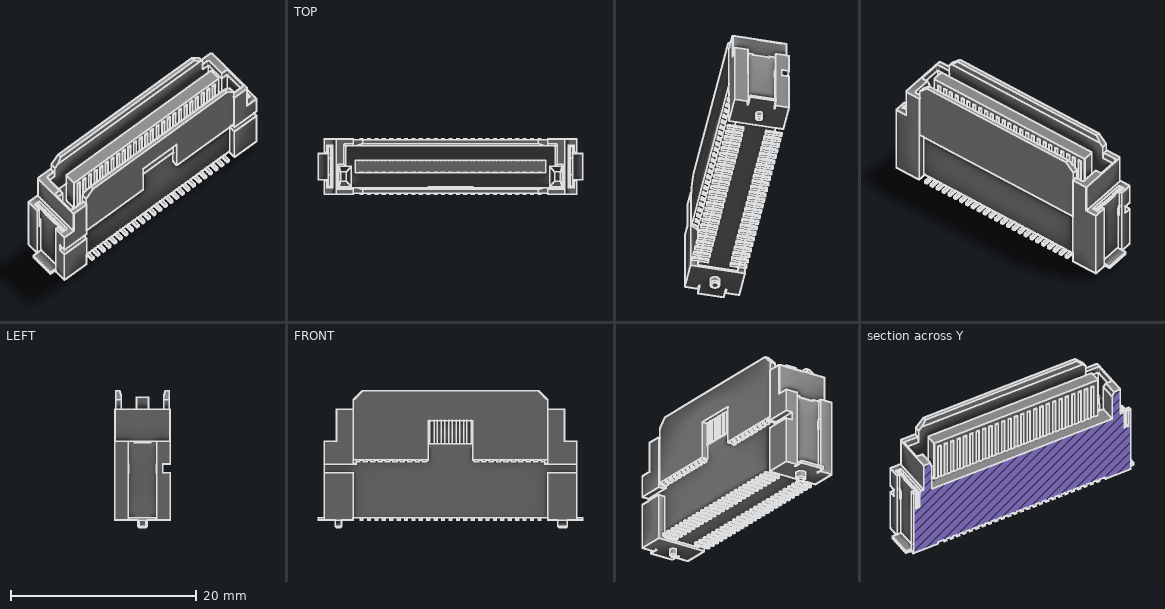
import cadquery as cq

post_half_length = 13.65
tower_half_length = 12.35
post_inner_x = 10.5
post_half_width = 3.0
slab_half_width = 2.2
slab_bottom_z = 0.25
shoulder_z = 8.55
tower_top_z = 12.0
tower_edge_chamfer = 0.08
floor_z = 8.25

plate_inner_y = 2.27
plate_outer_y = 2.9
plate_bottom_z = 6.55
plate_top_z = 14.0
plate_corner_chamfer = 1.0
plate_lead_depth = 0.2
plate_lead_height = 0.6
skirt_bottom_z = 6.3
skirt_end_bottom_z = 6.05
skirt_end_lip = 0.1
skirt_channel_depth = 0.45
skirt_end_length = 0.3
window_half_length = 2.4
window_top_z = 10.75

cavity_half_length = 11.3
cavity_half_width = plate_inner_y
cavity_rim_spread = 0.2
cavity_rim_height = 0.6
cavity_rim_radius = 0.2
corner_outer_x = 12.05
corner_inner_x = 10.7
corner_front_y = -plate_inner_y
corner_back_y = 0.05
pit_depth = 1.5
pit_front_y = -2.18
pit_floor_x = (11.23, 11.87)
pit_floor_y = (-1.6, -0.58)

tongue_half_length = 10.3
tongue_half_width = 0.66
tongue_top_z = 13.3
tongue_edge_chamfer = 0.06
contacts_per_side = 25
contact_pitch = 0.8
groove_width = 0.35
groove_depth = 0.07
groove_top_gap = 0.7
groove_top_z = tongue_top_z - groove_top_gap
tail_width = 0.3
tail_inner_y = 1.2

notch_bottom_z = 5.15
notch_top_z = 6.05

slot_inner_x = 12.7
slot_outer_x = 13.34
slot_half_width = 2.3
slot_bottom_z = 6.3
slot_lead_depth = 0.15
slot_lead_height = 0.3
strip_inner_x = 12.95
strip_outer_x = 13.18
strip_half_width = 2.15
strip_top_z = 8.5
strip_dip_half_width = 0.9
strip_dip_depth = 0.15
end_recess_half_width = 1.52
foot_end_x = 14.3
foot_half_width = 1.43
foot_thickness = 0.28
barb_size = 0.06

peg_x = 12.1
small_peg_diameter = 0.7
large_peg_diameter = 1.05
peg_length = 0.8
peg_tip_chamfer = 0.15


def block(x, y, z):
    """Box between the given (low, high) limits on each axis."""
    size = (x[1] - x[0], y[1] - y[0], z[1] - z[0])
    return cq.Workplane("XY").box(*size, centered=False).translate((x[0], y[0], z[0]))


def centered_block(half_x, half_y, z):
    """Box symmetric about the Z axis."""
    return block((-half_x, half_x), (-half_y, half_y), z)


def tapered_opening(x, y, z, spread_x, spread_y):
    """Opening that widens upwards by the given (low, high) spread on each side."""
    length = x[1] - x[0]
    width = y[1] - y[0]
    low = cq.Workplane("XY", origin=(0, 0, z[0]))
    low = low.center(sum(x) / 2, sum(y) / 2).rect(length, width)
    top_x = (x[0] - spread_x[0], x[1] + spread_x[1])
    top_y = (y[0] - spread_y[0], y[1] + spread_y[1])
    shift = ((sum(top_x) - sum(x)) / 2, (sum(top_y) - sum(y)) / 2)
    high = low.workplane(offset=z[1] - z[0]).center(*shift)
    return high.rect(top_x[1] - top_x[0], top_y[1] - top_y[0]).loft(ruled=True)


def mirror_x(shape):
    return shape.mirror("YZ")


def mirror_y(shape):
    return shape.mirror("XZ")


def contact_positions():
    first = -(contacts_per_side - 1) / 2 * contact_pitch
    return [(first + i * contact_pitch, 0) for i in range(contacts_per_side)]


def at_contacts(width, y, z):
    """One box per contact, spread along X."""
    row = cq.Workplane("XY", origin=(0, (y[0] + y[1]) / 2, z[0])).pushPoints(contact_positions())
    return row.rect(width, y[1] - y[0]).extrude(z[1] - z[0])


def make_posts():
    post_y = (-post_half_width, post_half_width)
    post = block((post_inner_x, post_half_length), post_y, (0, shoulder_z))
    tower = block((post_inner_x, tower_half_length), post_y, (shoulder_z, tower_top_z))
    tower = tower.edges("|Z and >X").chamfer(tower_edge_chamfer)
    notch = block(
        (post_inner_x, post_half_length), (-post_half_width, -slab_half_width), (notch_bottom_z, notch_top_z)
    )
    post = post.union(tower).cut(notch)
    return post.union(mirror_x(post))


def extrude_profile(points, half_length):
    """Extrude a (Y, Z) profile symmetrically along X."""
    return cq.Workplane("YZ").polyline(points).close().extrude(half_length, both=True)


def make_front_plate():
    lead_z = plate_top_z - plate_lead_height
    plate = extrude_profile(
        [
            (-plate_outer_y, plate_bottom_z),
            (-plate_outer_y, plate_top_z),
            (-plate_inner_y - plate_lead_depth, plate_top_z),
            (-plate_inner_y, lead_z),
            (-plate_inner_y, floor_z),
            (-slab_half_width, floor_z),
            (-slab_half_width, plate_bottom_z),
        ],
        post_inner_x,
    )
    corner_z = plate_top_z - plate_corner_chamfer
    corner = (
        cq.Workplane("XZ")
        .polyline([
            (post_inner_x, corner_z),
            (post_inner_x, plate_top_z),
            (post_inner_x - plate_corner_chamfer, plate_top_z),
        ])
        .close()
        .extrude(post_half_width)
    )
    return plate.cut(corner).cut(mirror_x(corner))


def make_front_skirt():
    """Sloped support under the plate, open at each contact and deeper at both ends."""
    skirt = extrude_profile(
        [
            (-plate_outer_y, plate_bottom_z),
            (-slab_half_width, plate_bottom_z),
            (-slab_half_width, skirt_bottom_z),
        ],
        post_inner_x,
    )
    channel_y = (-slab_half_width - skirt_channel_depth, -slab_half_width)
    skirt = skirt.cut(at_contacts(groove_width, channel_y, (skirt_bottom_z, plate_bottom_z)))
    lip_y = -slab_half_width - skirt_end_lip
    end_profile = [
        (-plate_outer_y, plate_bottom_z),
        (-slab_half_width, plate_bottom_z),
        (-slab_half_width, skirt_end_bottom_z),
        (lip_y, skirt_end_bottom_z),
        (lip_y, skirt_end_bottom_z + skirt_end_lip),
    ]
    inner_limit = post_inner_x - skirt_end_length
    ends = extrude_profile(end_profile, post_inner_x).cut(extrude_profile(end_profile, inner_limit))
    return skirt.union(ends)


def make_window():
    return block(
        (-window_half_length, window_half_length),
        (-post_half_width, -slab_half_width),
        (skirt_end_bottom_z, window_top_z),
    )


def cavity_opening(x, y):
    """Straight pocket down to the cavity floor with a rounded, widening rim."""
    rim_z = tower_top_z - cavity_rim_height
    spread = (cavity_rim_spread, cavity_rim_spread)
    rim = tapered_opening(x, y, (rim_z, tower_top_z), spread, spread)
    rim = rim.edges("not #Z").fillet(cavity_rim_radius)
    return block(x, y, (floor_z, rim_z)).union(rim)


def make_cavity():
    """Main cavity, widened at both front corners over a tapered pit."""
    main_x = (-cavity_half_length, cavity_half_length)
    cavity = cavity_opening(main_x, (-cavity_half_width, cavity_half_width))

    corner_x = (corner_inner_x, corner_outer_x)
    corner_y = (corner_front_y, corner_back_y)
    pit = tapered_opening(
        pit_floor_x,
        pit_floor_y,
        (floor_z - pit_depth, floor_z),
        (pit_floor_x[0] - corner_x[0], corner_x[1] - pit_floor_x[1]),
        (pit_floor_y[0] - pit_front_y, corner_y[1] - pit_floor_y[1]),
    )
    corner = cavity_opening(corner_x, corner_y).union(pit)
    return cavity.union(corner).union(mirror_x(corner))


def make_tongue():
    tongue = centered_block(tongue_half_length, tongue_half_width, (floor_z, tongue_top_z))
    tongue = tongue.edges("|Z").chamfer(tongue_edge_chamfer)
    grooves = at_contacts(
        groove_width, (-tongue_half_width, -tongue_half_width + groove_depth), (floor_z, groove_top_z)
    )
    return tongue.cut(grooves).cut(mirror_y(grooves))


def make_tails():
    tails = at_contacts(tail_width, (-post_half_width, -tail_inner_y), (0, slab_bottom_z))
    return tails.union(mirror_y(tails))


def make_end_opening():
    """Slot for the hold-down strip and the recess that opens it to the end face."""
    slot_profile = [
        (slot_inner_x + slot_lead_depth, slot_bottom_z),
        (slot_outer_x, slot_bottom_z),
        (slot_outer_x, shoulder_z),
        (slot_inner_x, shoulder_z),
        (slot_inner_x + slot_lead_depth, shoulder_z - slot_lead_height),
    ]
    slot = cq.Workplane("XZ").polyline(slot_profile).close().extrude(slot_half_width, both=True)
    recess = block(
        (strip_outer_x, post_half_length),
        (-end_recess_half_width, end_recess_half_width),
        (0, shoulder_z),
    )
    return slot.union(recess)


def make_hold_down():
    strip = block(
        (strip_inner_x, strip_outer_x), (-strip_half_width, strip_half_width), (0, strip_top_z)
    )
    dip = block(
        (strip_inner_x, strip_outer_x),
        (-strip_dip_half_width, strip_dip_half_width),
        (strip_top_z - strip_dip_depth, strip_top_z),
    )
    foot = block(
        (strip_inner_x, foot_end_x), (-foot_half_width, foot_half_width), (0, foot_thickness)
    )
    barb = block(
        (strip_outer_x, slot_outer_x),
        (end_recess_half_width - barb_size, end_recess_half_width),
        (notch_bottom_z, notch_top_z),
    )
    return strip.cut(dip).union(foot).union(barb).union(mirror_y(barb))


def make_peg(x, diameter):
    peg = cq.Workplane("XY").center(x, 0).circle(diameter / 2).extrude(-peg_length)
    return peg.faces("<Z").chamfer(peg_tip_chamfer)


slab = centered_block(post_inner_x, slab_half_width, (slab_bottom_z, floor_z))
front_guard = make_front_plate().union(make_front_skirt())
end_opening = make_end_opening()
hold_down = make_hold_down()

housing = make_posts().union(slab).cut(make_cavity())
housing = housing.union(front_guard.cut(make_window()))
housing = housing.union(mirror_y(front_guard))
housing = housing.union(make_tongue()).union(make_tails())
housing = housing.cut(end_opening).cut(mirror_x(end_opening))
housing = housing.union(hold_down).union(mirror_x(hold_down))
housing = housing.union(make_peg(-peg_x, small_peg_diameter))
result = housing.union(make_peg(peg_x, large_peg_diameter))